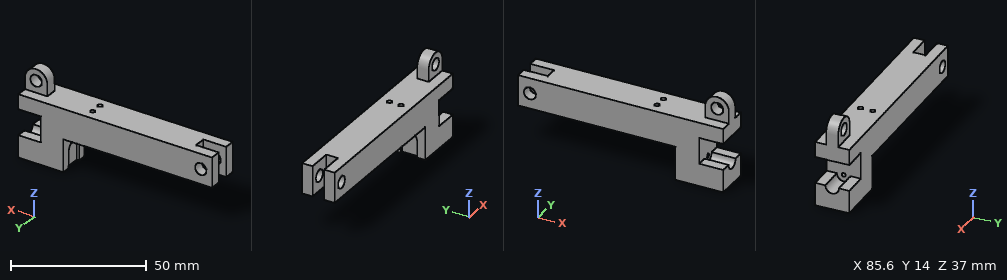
import cadquery as cq

length = 85.6
width = 14.0
total_height = 37.0

arm_bottom = 14.0
arm_top = 27.0
arm_middle = (arm_bottom + arm_top) / 2
foot_start = 65.6

notch_start = 75.6
notch_bottom = 9.6
notch_top = 20.55

tongue_width = 5.0
pin_diameter = 5.0
fork_depth = 10.0
fork_pin_x = 5.0

lug_radius = 5.0
lug_x = length - lug_radius
lug_pin_z = total_height - lug_radius

recess_radius = 3.5
recess_top = 10.45
recess_depth = 1.0

cable_z = 9.5
cable_diameter = 1.5
trough_diameter = 5.5

cord_x = 55.6
cord_diameter = 2.0
cord_bend_radius = 2.5


def cylinder_along_x(diameter, start, end, z):
    return cq.Workplane("YZ", origin=(start, 0, z)).circle(diameter / 2).extrude(end - start)


def pin_hole(x, z):
    plane = cq.Workplane("XZ", origin=(x, 0, z))
    return plane.circle(pin_diameter / 2).extrude(width, both=True)


def make_body():
    outline = [
        (0, arm_bottom), (foot_start, arm_bottom), (foot_start, 0), (length, 0),
        (length, notch_bottom), (notch_start, notch_bottom),
        (notch_start, notch_top), (length, notch_top),
        (length, arm_top), (0, arm_top),
    ]
    return cq.Workplane("XZ").polyline(outline).close().extrude(width / 2, both=True)


def make_lug():
    return (
        cq.Workplane("XZ")
        .moveTo(lug_x - lug_radius, arm_top)
        .lineTo(lug_x - lug_radius, lug_pin_z)
        .threePointArc((lug_x, total_height), (lug_x + lug_radius, lug_pin_z))
        .lineTo(lug_x + lug_radius, arm_top)
        .close()
        .extrude(tongue_width / 2, both=True)
    )


def make_fork_slot():
    slot_height = arm_top - arm_bottom
    slot = cq.Workplane().box(fork_depth, tongue_width, slot_height, centered=(False, True, True))
    return slot.translate((0, 0, arm_middle))


def make_arched_recess():
    spring_z = recess_top - recess_radius
    return (
        cq.Workplane("YZ", origin=(foot_start, 0, 0))
        .moveTo(-recess_radius, 0)
        .lineTo(-recess_radius, spring_z)
        .threePointArc((0, recess_top), (recess_radius, spring_z))
        .lineTo(recess_radius, 0)
        .close()
        .extrude(recess_depth)
    )


def make_cord_channel():
    ring = cq.Solid.makeTorus(
        cord_bend_radius, cord_diameter / 2, cq.Vector(cord_x, 0, arm_top), cq.Vector(1, 0, 0)
    )
    return cq.Workplane(obj=ring)


result = (
    make_body()
    .cut(make_cord_channel())
    .union(make_lug())
    .cut(make_fork_slot())
    .cut(pin_hole(fork_pin_x, arm_middle))
    .cut(pin_hole(lug_x, lug_pin_z))
    .cut(make_arched_recess())
    .cut(cylinder_along_x(cable_diameter, foot_start, length, cable_z))
    .cut(cylinder_along_x(trough_diameter, notch_start, length, cable_z))
)